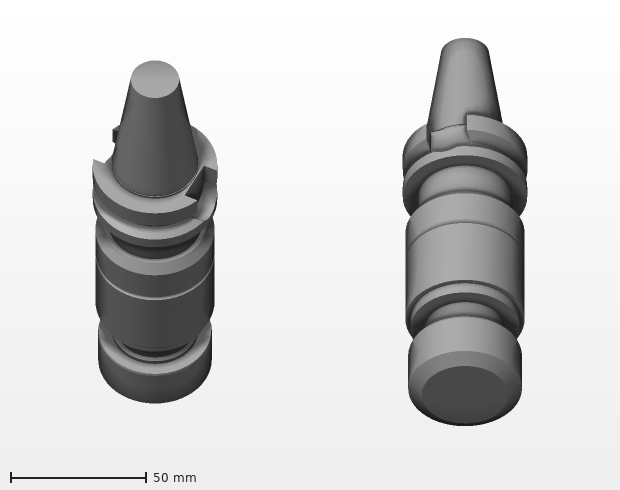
import cadquery as cq

total_length = 168.0
flange_radius = 46.0 / 2

nut_radius = 42.0 / 2
nut_face_radius = 16.0
nut_bottom_chamfer_height = 3.0
nut_top = 20.2
nut_top_chamfer_height = 0.8
nut_top_radius = 41.5 / 2

collar_radius = 32.0 / 2
collar_edge = 21.7
collar_top = 22.5
neck_radius = 30.0 / 2
neck_relief_radius = 29.5 / 2
neck_relief_bottom = 24.9
neck_relief_top = 25.4
neck_top = 32.6
neck_end_relief_height = 0.5

spigot_radius = 40.3 / 2
body_radius = 44.0 / 2
body_bottom = 37.1
body_groove_radius = 41.5 / 2
body_groove_bottom = 65.2
body_groove_floor = 65.9
body_groove_top = 67.0
body_shoulder = 79.8
body_top = 83.5
body_top_radius = 19.0

shank_radius = 35.0 / 2
shank_relief_radius = 34.6 / 2
shank_top_relief_height = 1.0
shank_bottom_relief_height = 0.5

flange_bottom = 97.6
flange_top = 117.6
flange_groove_radius = 18.6
flange_groove_bottom = 102.1
flange_groove_floor_bottom = 104.3
flange_groove_floor_top = 107.9
flange_groove_top = 110.2

taper_relief_radius = 31.2 / 2
taper_relief_bottom = 118.5
taper_bottom = 119.3
taper_bottom_radius = 32.0 / 2
taper_top_radius = 17.8 / 2

slot_width = 15.8
slot_bottom = 100.6
slot_floor_offset = 16.3


def turned_body():
    """Revolve the half profile, listed as (radius, height) from bottom to top."""
    profile = [
        (0, 0),
        (nut_face_radius, 0),
        (nut_radius, nut_bottom_chamfer_height),
        (nut_radius, nut_top - nut_top_chamfer_height),
        (nut_top_radius, nut_top),
        (collar_radius, nut_top),
        (collar_radius, collar_edge),
        (neck_relief_radius, collar_top),
        (neck_relief_radius, neck_relief_bottom),
        (neck_radius, neck_relief_top),
        (neck_radius, neck_top - neck_end_relief_height),
        (neck_relief_radius, neck_top - neck_end_relief_height),
        (neck_relief_radius, neck_top),
        (spigot_radius, neck_top),
        (spigot_radius, body_bottom),
        (body_radius, body_bottom),
        (body_radius, body_groove_bottom),
        (body_groove_radius, body_groove_floor),
        (body_radius, body_groove_top),
        (body_radius, body_shoulder),
        (body_top_radius, body_top),
        (shank_relief_radius, body_top),
        (shank_relief_radius, body_top + shank_bottom_relief_height),
        (shank_radius, body_top + shank_bottom_relief_height),
        (shank_radius, flange_bottom - shank_top_relief_height),
        (shank_relief_radius, flange_bottom - shank_top_relief_height),
        (shank_relief_radius, flange_bottom),
        (flange_radius, flange_bottom),
        (flange_radius, flange_groove_bottom),
        (flange_groove_radius, flange_groove_floor_bottom),
        (flange_groove_radius, flange_groove_floor_top),
        (flange_radius, flange_groove_top),
        (flange_radius, flange_top),
        (taper_bottom_radius, flange_top),
        (taper_bottom_radius, taper_relief_bottom),
        (taper_relief_radius, taper_relief_bottom),
        (taper_relief_radius, taper_bottom),
        (taper_bottom_radius, taper_bottom),
        (taper_top_radius, total_length),
        (0, total_length),
    ]
    return cq.Workplane("XZ").polyline(profile).close().revolve(360, (0, 0, 0), (0, 1, 0))


def drive_slot(side):
    """Cutter for a round-bottomed slot, open at the top and the outside; side is +1 or -1 along X."""
    half_width = slot_width / 2
    arc_center_height = slot_bottom + half_width
    return (
        cq.Workplane("YZ", origin=(side * slot_floor_offset, 0, 0))
        .moveTo(-half_width, flange_top)
        .lineTo(-half_width, arc_center_height)
        .threePointArc((0, slot_bottom), (half_width, arc_center_height))
        .lineTo(half_width, flange_top)
        .close()
        .extrude(side * flange_radius)
    )


result = turned_body()
for side in (-1, 1):
    result = result.cut(drive_slot(side))